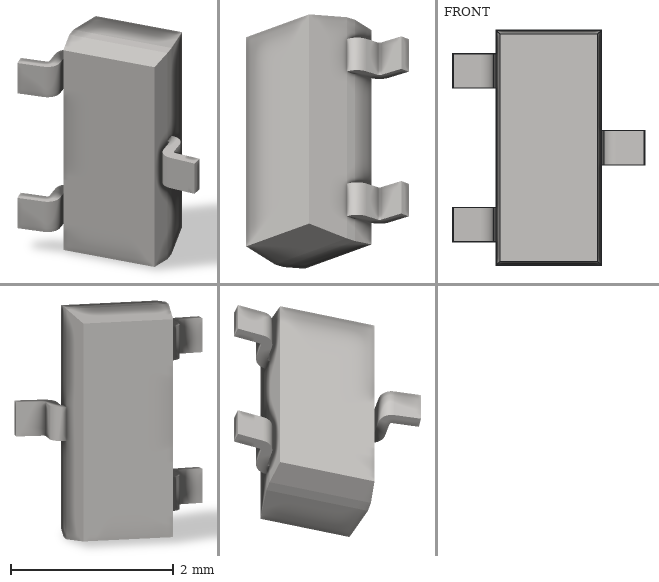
import cadquery as cq
import math

housing_height = 2.9
housing_width = 1.3
housing_front_y = 0.1
housing_back_y = 1.12
draft_angle = 8.0

strip_thickness = 0.14
lead_width = 0.425
lead_span = 2.37
shank_outer_x = 0.825
bend_outer_radius = 0.165
bend_inner_radius = bend_outer_radius - strip_thickness
foot_angle = 5.0
lead_pitch = 0.948

belt_back_y = 0.56
belt_front_y = belt_back_y - strip_thickness

LEFT = -1
RIGHT = 1
lead_places = [(LEFT, lead_pitch), (LEFT, -lead_pitch), (RIGHT, 0.0)]


def make_housing():
    """Belt with a drafted block in front (-Y) and a deeper one behind (+Y)."""
    belt = (
        cq.Workplane("ZX", origin=(0, belt_front_y, 0))
        .rect(housing_height, housing_width)
        .extrude(strip_thickness)
    )
    back_block = (
        cq.Workplane("ZX", origin=(0, belt_back_y, 0))
        .rect(housing_height, housing_width)
        .extrude(housing_back_y - belt_back_y, taper=draft_angle)
    )
    front_block = (
        cq.Workplane("XZ", origin=(0, belt_front_y, 0))
        .rect(housing_width, housing_height)
        .extrude(belt_front_y - housing_front_y, taper=draft_angle)
    )
    return belt.union(back_block).union(front_block)


def make_lead(side, center_z):
    """Gull-wing strip that butts against the housing side; its foot tip rests at Y = 0."""
    slope = math.radians(foot_angle)
    root_x = housing_width / 2
    shank_inner_x = shank_outer_x - strip_thickness

    tip_back = (lead_span / 2, strip_thickness * math.cos(slope))
    tip_front = (lead_span / 2 - strip_thickness * math.sin(slope), 0.0)
    heel_back_y = tip_back[1] + (tip_back[0] - shank_outer_x) * math.tan(slope)
    heel_front_y = (tip_front[0] - shank_inner_x) * math.tan(slope)

    shoulder_outer = (shank_outer_x, belt_back_y)
    shoulder_inner = (shank_inner_x, belt_front_y)
    heel_inner = (shank_outer_x, heel_back_y)
    heel_outer = (shank_inner_x, heel_front_y)

    outline = [
        (root_x, belt_back_y),
        shoulder_outer,
        heel_inner,
        tip_back,
        tip_front,
        heel_outer,
        shoulder_inner,
        (root_x, belt_front_y),
    ]
    lead = (
        cq.Workplane("XY", origin=(0, 0, center_z))
        .polyline([(side * x, y) for x, y in outline])
        .close()
        .extrude(lead_width / 2, both=True)
    )

    bends = [
        (shoulder_outer, bend_outer_radius),
        (shoulder_inner, bend_inner_radius),
        (heel_outer, bend_outer_radius),
        (heel_inner, bend_inner_radius),
    ]
    for (x, y), radius in bends:
        corner = cq.NearestToPointSelector((side * x, y, center_z))
        lead = lead.edges("|Z").edges(corner).fillet(radius)
    return lead


housing = make_housing()
leads = [make_lead(side, center_z) for side, center_z in lead_places]

result = cq.Compound.makeCompound([housing.val(), *[lead.val() for lead in leads]])